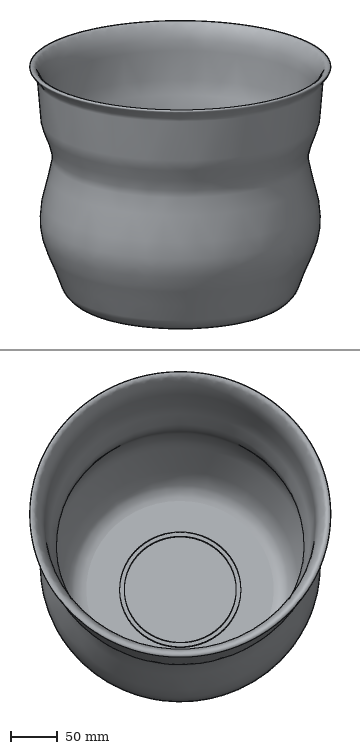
import cadquery as cq

lip_height = 261.91
lip_radius = 161.02
lip_drop = 0.6
lip_inset = 1.2
floor_thickness = 6.0
foot_flat_radius = 106.0
floor_flat_radius = 100.4

ring_outer_diameter = 130.0
ring_inner_diameter = 120.0
ring_height = 2.0

foot_corner = [(111.5, 1.0), (119.5, 5.8), (126.0, 13.6)]
outer_wall = [
    (131.2, 26.9),
    (138.2, 44.5),
    (147.0, 67.0),
    (150.0, 96.0),
    (141.7, 136.5),
    (137.2, 160.0),
    (140.5, 175.4),
    (149.5, 201.0),
    (151.2, 220.0),
    (152.7, 239.0),
    (153.8, 248.5),
]
lip = [
    (158.2, 256.2),
    (lip_radius, lip_height - lip_drop),
    (lip_radius - lip_inset, lip_height),
    (156.0, 261.3),
]
inner_wall = [
    (150.6, 254.6),
    (147.3, 246.0),
    (142.8, 196.0),
    (133.3, 166.0),
    (132.8, 152.3),
    (144.8, 100.0),
    (142.0, 68.0),
    (133.7, 46.7),
]
floor_corner = [(125.0, 24.6), (118.3, 14.8), (113.8, 10.5), (108.2, 7.5)]


def make_pot():
    """Revolve the wall and floor section."""
    side = foot_corner + outer_wall + lip + inner_wall + floor_corner
    side.append((floor_flat_radius, floor_thickness))
    ring_top = floor_thickness + ring_height
    section = (
        cq.Workplane("XZ")
        .lineTo(foot_flat_radius, 0)
        .spline(side, includeCurrent=True)
        .lineTo(ring_outer_diameter / 2, floor_thickness)
        .lineTo(ring_outer_diameter / 2, ring_top)
        .lineTo(ring_inner_diameter / 2, ring_top)
        .lineTo(ring_inner_diameter / 2, floor_thickness)
        .lineTo(0, floor_thickness)
        .close()
    )
    return section.revolve(360, (0, 0, 0), (0, 1, 0))


result = make_pot()